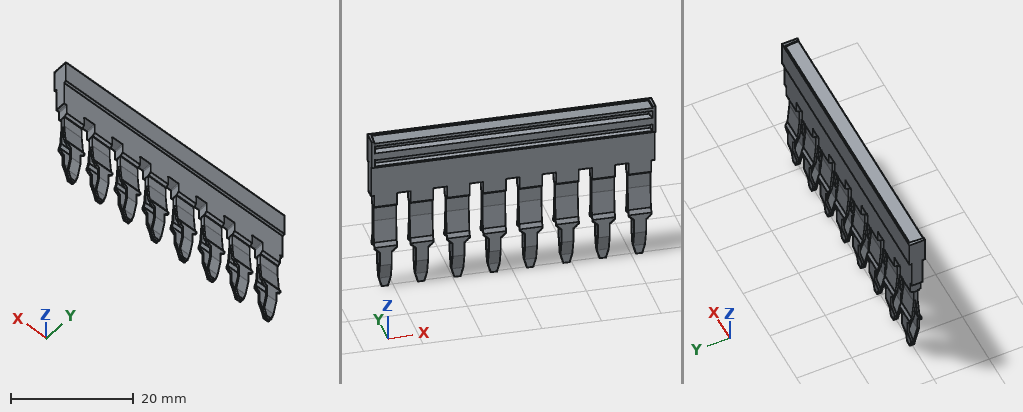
import cadquery as cq


LENGTH = 47.7
HEAD_THICKNESS = 2.8
HEAD_DEPTH = 5.0
HEAD_EDGE_DEPTH = 4.85
BODY_THICKNESS = 1.9
BODY_DEPTH = 10.4

RECESS_DEPTH = 0.3
RECESS_BACK_RIM = 0.3
RECESS_FRONT_END_RIM = 0.45
RECESS_BACK_END_RIM = 0.55

GROOVE_END_MARGIN = 0.5
UPPER_GROOVE_TOP = 0.85
UPPER_GROOVE_BOTTOM = 2.15
UPPER_GROOVE_CUT = 0.95
UPPER_GROOVE_TOP_DRAFT = 0.45
UPPER_GROOVE_END_DRAFT = 0.45
LOWER_GROOVE_TOP = 3.45
LOWER_GROOVE_BOTTOM = 4.6
LOWER_GROOVE_CUT = 0.55
LOWER_GROOVE_TOP_DRAFT = 0.0
LOWER_GROOVE_END_DRAFT = 0.3
GROOVE_BOTTOM_DRAFT = 0.3

PIN_COUNT = 8
PITCH = 6.1
TOOTH_WIDTH = 3.8
TOOTH_TAPER_DEPTH = 12.5
TOOTH_DEPTH = 12.95
TOOTH_ROOT_RADIUS = 0.15
TOOTH_TIP_THICKNESS = 0.95

LEG_THICKNESS = 0.4
LEG_GAP = 0.025
SPLIT_DEPTH = 15.35
KINK_TOP_DEPTH = 19.35
KINK_BOTTOM_DEPTH = 20.15
BULGE_END_DEPTH = 23.55
TIP_START_DEPTH = 26.3
TIP_DEPTH = 27.95
KINK_TOP_OFFSET = 0.35
BULGE_OFFSET = 0.7

NECK_START_DEPTH = 20.4
NECK_END_DEPTH = 21.27
NECK_WIDTH = 2.0
TIP_WIDTH = 1.05


def wedge(section_a, section_b):
    """Ruled solid between two closed outlines that have the same number of points."""
    wires = [cq.Wire.makePolygon([cq.Vector(*p) for p in s], close=True) for s in (section_a, section_b)]
    return cq.Workplane(cq.Solid.makeLoft(wires, True))


def extrude_along_x(points, length):
    """Extrude an outline of (Y, Z) points, centred on X = 0."""
    return cq.Workplane("YZ").polyline(points).close().extrude(length / 2, both=True)


def mirrored(half_outline, middle_points=()):
    """Join a one-sided outline to its mirror image across the vertical axis."""
    return half_outline + list(middle_points) + [(-across, z) for across, z in reversed(half_outline)]


def groove(top, bottom, cut, top_draft, end_draft):
    """Tool for a groove in the front face, narrowing towards its floor."""
    face_y = -HEAD_THICKNESS / 2
    half_length = LENGTH / 2 - GROOVE_END_MARGIN

    def rectangle(half, y, upper, lower):
        return [(-half, y, -upper), (half, y, -upper), (half, y, -lower), (-half, y, -lower)]

    mouth = rectangle(half_length, face_y, top, bottom)
    floor = rectangle(half_length - end_draft, face_y + cut, top + top_draft, bottom - GROOVE_BOTTOM_DRAFT)
    return wedge(mouth, floor)


def label_recess():
    """Tool for the recess in the top, whose end rims thicken towards the back."""
    front_y = -HEAD_THICKNESS / 2
    back_y = HEAD_THICKNESS / 2 - RECESS_BACK_RIM
    front_x = LENGTH / 2 - RECESS_FRONT_END_RIM
    back_x = LENGTH / 2 - RECESS_BACK_END_RIM
    outline = [(-front_x, front_y), (front_x, front_y), (back_x, back_y), (-back_x, back_y)]
    return cq.Workplane("XY").polyline(outline).close().extrude(-RECESS_DEPTH)


def tooth():
    """Block below the body, tapered in thickness at its lower end."""
    half_profile = [
        (BODY_THICKNESS / 2, -BODY_DEPTH),
        (BODY_THICKNESS / 2, -TOOTH_TAPER_DEPTH),
        (TOOTH_TIP_THICKNESS / 2, -TOOTH_DEPTH),
    ]
    return extrude_along_x(mirrored(half_profile), TOOTH_WIDTH)


def round_tooth_roots(housing, pin_places):
    """Fillet the inner corners where the teeth meet the underside of the body."""
    reach = TOOTH_ROOT_RADIUS
    root_box = cq.selectors.BoxSelector(
        (pin_places[0] - TOOTH_WIDTH / 2 - reach, -BODY_THICKNESS, -BODY_DEPTH - reach),
        (pin_places[-1] + TOOTH_WIDTH / 2 + reach, BODY_THICKNESS, -BODY_DEPTH + reach),
    )
    return housing.edges("|Y").edges(root_box).fillet(TOOTH_ROOT_RADIUS)


def make_housing(pin_places):
    """Head and body of the strip with the teeth, label recess and grooves."""
    half_profile = [
        (HEAD_THICKNESS / 2, 0),
        (HEAD_THICKNESS / 2, -HEAD_EDGE_DEPTH),
        (BODY_THICKNESS / 2, -HEAD_DEPTH),
        (BODY_THICKNESS / 2, -BODY_DEPTH),
    ]
    housing = extrude_along_x(mirrored(half_profile), LENGTH)
    for x in pin_places:
        housing = housing.union(tooth().translate((x, 0, 0)))
    housing = round_tooth_roots(housing, pin_places)
    housing = housing.cut(label_recess())
    housing = housing.cut(
        groove(UPPER_GROOVE_TOP, UPPER_GROOVE_BOTTOM, UPPER_GROOVE_CUT,
               UPPER_GROOVE_TOP_DRAFT, UPPER_GROOVE_END_DRAFT)
    )
    return housing.cut(
        groove(LOWER_GROOVE_TOP, LOWER_GROOVE_BOTTOM, LOWER_GROOVE_CUT,
               LOWER_GROOVE_TOP_DRAFT, LOWER_GROOVE_END_DRAFT)
    )


def make_pin():
    """Side profile of the blade and legs, trimmed to the front outline; starts at the tooth tip."""
    leg_path = [
        (0, -SPLIT_DEPTH),
        (KINK_TOP_OFFSET, -KINK_TOP_DEPTH),
        (BULGE_OFFSET, -KINK_BOTTOM_DEPTH),
        (BULGE_OFFSET, -BULGE_END_DEPTH),
        (LEG_GAP / 2, -TIP_START_DEPTH),
        (LEG_GAP / 2, -TIP_DEPTH),
    ]
    outer_path = [(y + LEG_THICKNESS, z) for y, z in leg_path]
    half_profile = [(LEG_THICKNESS, -TOOTH_DEPTH)] + outer_path + leg_path[:0:-1]
    side = extrude_along_x(mirrored(half_profile, leg_path[:1]), TOOTH_WIDTH)

    half_outline = [
        (TOOTH_WIDTH / 2, -TOOTH_DEPTH),
        (TOOTH_WIDTH / 2, -NECK_START_DEPTH),
        (NECK_WIDTH / 2, -NECK_END_DEPTH),
        (NECK_WIDTH / 2, -TIP_START_DEPTH),
        (TIP_WIDTH / 2, -TIP_DEPTH),
    ]
    front = cq.Workplane("XZ").polyline(mirrored(half_outline)).close().extrude(HEAD_THICKNESS / 2, both=True)
    return side.intersect(front)


pin_places = [(i - (PIN_COUNT - 1) / 2) * PITCH for i in range(PIN_COUNT)]

housing = make_housing(pin_places)

pin = make_pin()
pins = [pin.translate((x, 0, 0)).val() for x in pin_places]

result = cq.Compound.makeCompound([housing.val(), *pins])